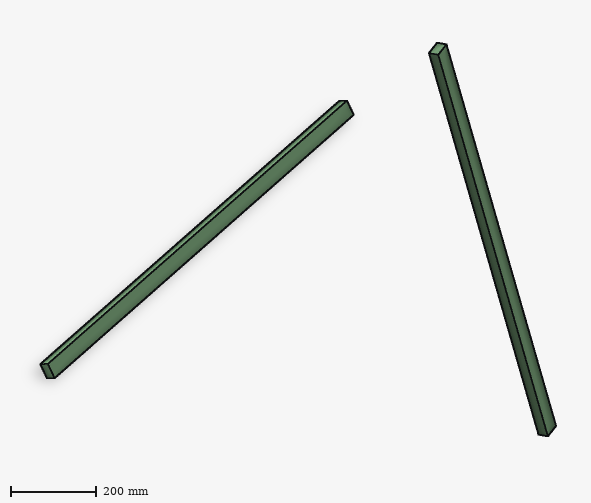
import math

import cadquery as cq

LENGTH = 1155.22
OUTER_WIDTH = 42.51
OUTER_HEIGHT = 47.51
TILT = 30.0

cos_tilt = math.cos(math.radians(TILT))
sin_tilt = math.sin(math.radians(TILT))
cos_double_tilt = math.cos(math.radians(2 * TILT))
short_side = (OUTER_WIDTH * cos_tilt - OUTER_HEIGHT * sin_tilt) / cos_double_tilt
long_side = (OUTER_HEIGHT * cos_tilt - OUTER_WIDTH * sin_tilt) / cos_double_tilt


def tilted_bar():
    """Rectangular bar along Y, its section turned so the short side rises toward +X."""
    bar = cq.Workplane("XY").box(short_side, LENGTH, long_side)
    return bar.rotate((0, 0, 0), (0, 1, 0), -TILT)


result = tilted_bar()